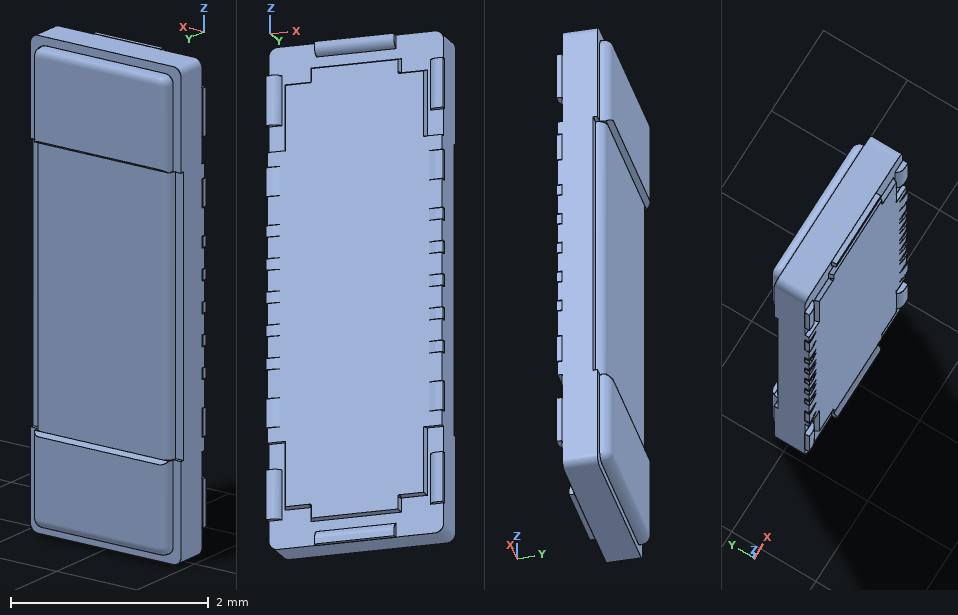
import cadquery as cq
import math


length = 5.33
thickness = 0.55
width_over_contacts = 1.9

body_width = 1.875
end_contact_overhang = 0.0025
body_length = length - 2 * end_contact_overhang
body_corner_radius = 0.095
rim_y = 0.06
plate_y = 0.01
body_back_y = 0.425
middle_half_length = 1.54
middle_back_y = 0.385

cover_width = body_width - 2 * body_corner_radius
cover_length = length - 2 * body_corner_radius
middle_cover_y = 0.49
cover_corner_radius = 0.1
cover_edge_radius = 0.095
cover_bevel_length = 0.035

plate_half_width = 0.76
plate_shoulder_z = 2.255
plate_tongue_half_width = 0.485
plate_half_length = 2.405
plate_side_inset = 0.02

rounded_contact = (2.09, 0.53)
bevelled_contacts = [(1.225, 0.31), (0.705, 0.12), (0.35, 0.12)]
centre_contact_length = 0.12
end_contact_width = 0.855
end_contact_flat = 0.06
side_contact_flat = 0.065
contact_round_run = 0.09
bevel_flat = 0.075
bevel_run = 0.07


def box(x_size, y_min, y_max, z_min, z_max):
    """Block centred on x = 0 between the given Y and Z limits."""
    return (
        cq.Workplane("XY")
        .box(x_size, y_max - y_min, z_max - z_min, centered=(True, False, False))
        .translate((0, y_min, z_min))
    )


def both_ends(shape):
    """The shape joined with its mirror image about z = 0."""
    return shape.union(shape.mirror("XY"))


def both_sides(shape):
    """The shape joined with its mirror image about x = 0."""
    return shape.union(shape.mirror("YZ"))


def make_body():
    body = box(body_width, rim_y, body_back_y, -body_length / 2, body_length / 2)
    body = body.edges("|Y").fillet(body_corner_radius)
    recess = box(body_width, middle_back_y, body_back_y, -middle_half_length, middle_half_length)
    return body.cut(recess)


def make_cover():
    """Rounded cover at both ends, joined by a lower stretch in the middle."""
    cover = box(cover_width, body_back_y, thickness, -cover_length / 2, cover_length / 2)
    cover = cover.edges("|Y").fillet(cover_corner_radius)
    cover = cover.faces(">Y").edges().fillet(cover_edge_radius)

    top_half_length = middle_half_length + cover_bevel_length
    upper = [
        (body_back_y, middle_half_length),
        (middle_cover_y, middle_half_length),
        (thickness, top_half_length),
    ]
    lower = [(y, -z) for y, z in reversed(upper)]
    gap = (
        cq.Workplane("YZ")
        .polyline(upper + lower)
        .close()
        .extrude(cover_width / 2, both=True)
    )

    middle = box(cover_width, middle_back_y, middle_cover_y, -middle_half_length, middle_half_length)
    middle = middle.faces(">Y").edges("|Z").fillet(cover_edge_radius)
    return cover.cut(gap).union(middle)


def make_plate():
    """Full-width plate in the middle, stepped and sloping at both ends."""
    height = rim_y - plate_y
    quarter = [
        (plate_half_width, plate_shoulder_z),
        (plate_tongue_half_width, plate_shoulder_z),
        (plate_tongue_half_width, plate_half_length),
    ]
    right = [(x, -z) for x, z in reversed(quarter)] + quarter
    left = [(-x, -z) for x, z in right]
    side_taper = math.degrees(math.atan(plate_side_inset / height))
    stepped = (
        cq.Workplane("XZ", origin=(0, rim_y, 0))
        .polyline(right + left)
        .close()
        .extrude(height, taper=side_taper)
    )
    middle = box(body_width, plate_y, rim_y, -middle_half_length, middle_half_length)
    return stepped.union(middle)


def rounded_profile(plane, outer, flat):
    """Section of a contact with a flat next to its outer edge and a rounded inner edge."""
    flat_end = outer - flat
    inner = flat_end - contact_round_run
    radius = (contact_round_run**2 + rim_y**2) / (2 * rim_y)
    half_angle = math.atan2(contact_round_run, radius - rim_y) / 2
    arc_middle = (
        flat_end - radius * math.sin(half_angle),
        radius * (1 - math.cos(half_angle)),
    )

    def place(across, depth):
        return (across, depth) if plane == "XY" else (depth, across)

    return (
        cq.Workplane(plane)
        .moveTo(*place(outer, rim_y))
        .lineTo(*place(outer, 0))
        .lineTo(*place(flat_end, 0))
        .threePointArc(place(*arc_middle), place(inner, rim_y))
        .close()
    )


def make_rounded_side_contact(centre_z, size):
    profile = rounded_profile("XY", width_over_contacts / 2, side_contact_flat)
    return profile.extrude(size / 2, both=True).translate((0, 0, centre_z))


def make_end_contact():
    profile = rounded_profile("YZ", length / 2, end_contact_flat)
    return profile.extrude(end_contact_width / 2, both=True)


def make_bevelled_contact(centre_z, size):
    """Contact whose inner edge slopes down to the plate."""
    outer = width_over_contacts / 2
    inner = outer - bevel_flat - bevel_run
    return (
        cq.Workplane("XY")
        .polyline([
            (outer, rim_y),
            (outer, 0),
            (outer - bevel_flat, 0),
            (inner, plate_y),
            (inner, rim_y),
        ])
        .close()
        .extrude(size / 2, both=True)
        .translate((0, 0, centre_z))
    )


result = make_body().union(make_cover()).union(make_plate())
result = result.union(both_ends(make_end_contact()))
result = result.union(both_sides(both_ends(make_rounded_side_contact(*rounded_contact))))
for position, size in bevelled_contacts:
    result = result.union(both_sides(both_ends(make_bevelled_contact(position, size))))
result = result.union(both_sides(make_bevelled_contact(0, centre_contact_length)))